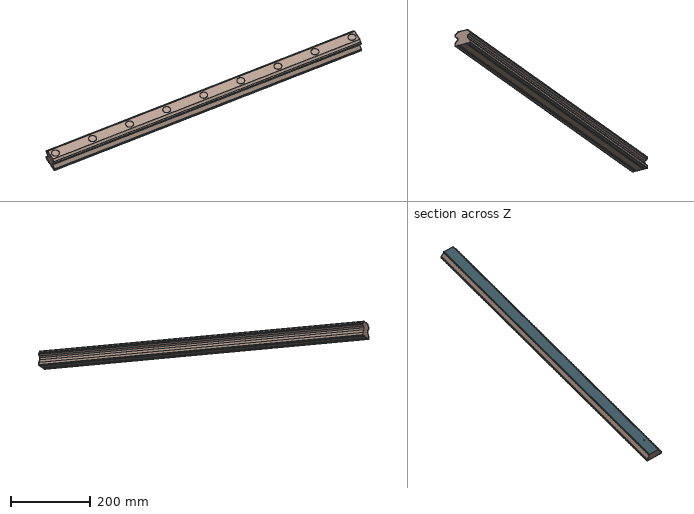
import cadquery as cq

width = 45.0
length = 870
height = 38.0

half_width = width / 2
groove_half_width = 20.0
neck_half_width = 15.0

base_chamfer = 1.0
base_side_top = 7.0
neck_bottom = 16.0
lower_groove_inner = 21.0
lower_groove_outer = 24.0
head_side_bottom = 28.0
head_side_top = 30.5
upper_groove_outer = 33.0

groove_sag = 1.0

base_groove_offset = 12.0
base_groove_width = 4.0
base_groove_depth = 1.0

cap_count = 9
cap_end_distance = 15.0
cap_diameter = 20.0
cap_recess_depth = 0.4
cap_pitch = (length - 2 * cap_end_distance) / (cap_count - 1)


def half_rail():
    """The +X half of the rail, from the centre plane to the side."""
    return (
        cq.Workplane("XZ")
        .lineTo(half_width - base_chamfer, 0)
        .lineTo(half_width, base_chamfer)
        .lineTo(half_width, base_side_top)
        .lineTo(neck_half_width, neck_bottom)
        .lineTo(neck_half_width, lower_groove_inner)
        .sagittaArc((groove_half_width, lower_groove_outer), groove_sag)
        .lineTo(half_width, head_side_bottom)
        .lineTo(half_width, head_side_top)
        .lineTo(groove_half_width, upper_groove_outer)
        .sagittaArc((neck_half_width, height), groove_sag)
        .lineTo(0, height)
        .close()
        .extrude(length / 2, both=True)
    )


def base_grooves():
    """Narrow relief grooves along the underside, one on each side of the centre."""
    return (
        cq.Workplane("XY")
        .rarray(2 * base_groove_offset, 9, 2, 1)
        .rect(base_groove_width, length)
        .extrude(base_groove_depth)
    )


def cap_recesses():
    """Evenly spaced discs sunk into the top face along the centre line."""
    return (
        cq.Workplane("XY", origin=(0, 0, height))
        .rarray(9, cap_pitch, 1, cap_count)
        .circle(cap_diameter / 2)
        .extrude(-cap_recess_depth)
    )


right_half = half_rail()
rail = right_half.union(right_half.mirror("YZ")).clean()
result = rail.cut(base_grooves()).cut(cap_recesses())